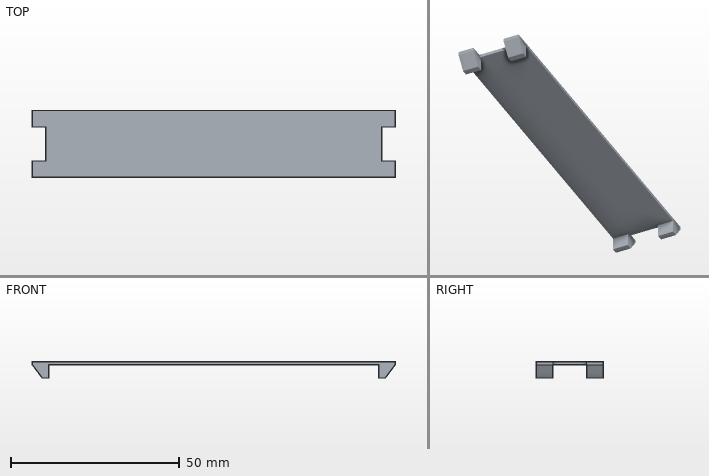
import cadquery as cq

length = 108.0
width = 20.0
height = 5.0

plate_thickness = 1.0
notch_depth = 4.0
notch_width = 10.0

foot_length = 5.0
foot_tip_length = 1.9

half_length = length / 2
inner_x = half_length - foot_length
tip_x = inner_x + foot_tip_length
plate_bottom = height - plate_thickness


def end_to_end_profile():
    """Side outline: thin plate with a sloped foot at each end."""
    right_half = [
        (inner_x, plate_bottom),
        (inner_x, 0),
        (tip_x, 0),
        (half_length, plate_bottom),
        (half_length, height),
    ]
    left_half = [(-x, z) for x, z in reversed(right_half)]
    return cq.Workplane("XZ").polyline(right_half + left_half).close()


def foot_gap(side):
    """Space between the two feet at one end, below the plate."""
    return cq.Workplane("XY").box(
        foot_length, notch_width, plate_bottom, centered=(True, True, False)
    ).translate((side * (half_length - foot_length / 2), 0, 0))


def end_notch(side):
    """Rectangular notch through the plate at one end."""
    return cq.Workplane("XY").box(
        notch_depth, notch_width, height, centered=(True, True, False)
    ).translate((side * (half_length - notch_depth / 2), 0, 0))


result = end_to_end_profile().extrude(width / 2, both=True)
for side in (-1, 1):
    result = result.cut(foot_gap(side)).cut(end_notch(side))